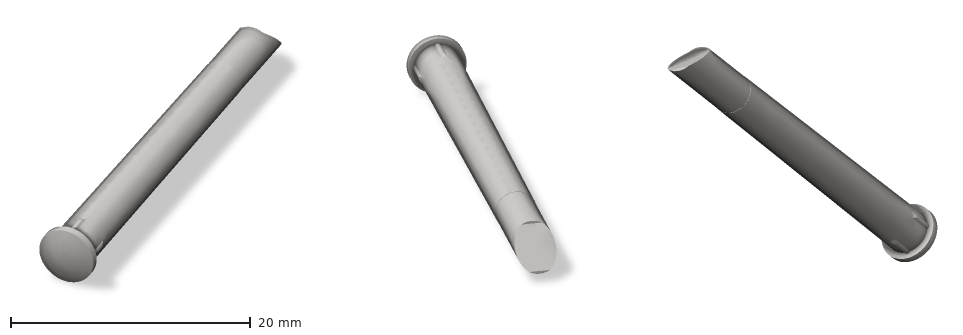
import cadquery as cq
import math

total_length = 39.37
head_diameter = 5.0
dome_height = 0.58
rim_thickness = 0.67
tip_diameter = 3.5
tip_length = 8.85
neck_diameter = 3.87
shank_end_diameter = 3.55
bevel_height = 3.0
rib_width = 0.6
rib_length = 2.9
rib_nose_length = 0.95
rib_diameter = 4.15
rib_count = 4

dome_apex = -(rim_thickness + dome_height)
tip_end = total_length + dome_apex
tip_start = tip_end - tip_length


def make_body():
    """Domed head, tapered shank and straight tip as one turned profile."""
    head_radius = head_diameter / 2
    dome_radius = (head_radius**2 + dome_height**2) / (2 * dome_height)
    mid_radius = head_radius / 2
    mid_sag = dome_radius - math.sqrt(dome_radius**2 - mid_radius**2)
    profile = (
        cq.Workplane("YZ")
        .moveTo(dome_apex, 0)
        .threePointArc((dome_apex + mid_sag, mid_radius), (-rim_thickness, head_radius))
        .lineTo(0, head_radius)
        .lineTo(0, neck_diameter / 2)
        .lineTo(tip_start, shank_end_diameter / 2)
        .lineTo(tip_start, tip_diameter / 2)
        .lineTo(tip_end, tip_diameter / 2)
        .lineTo(tip_end, 0)
        .close()
    )
    return profile.revolve(360, (0, 0, 0), (1, 0, 0))


def make_rib():
    """Round-backed rib along the top of the neck, with a sloping nose."""
    rib_radius = rib_width / 2
    crest = rib_diameter / 2
    rib = (
        cq.Workplane("XZ")
        .center(0, crest - rib_radius)
        .circle(rib_radius)
        .extrude(-rib_length)
    )
    nose_cut = (
        cq.Workplane("YZ")
        .moveTo(rib_length - rib_nose_length, crest)
        .lineTo(rib_length, crest)
        .lineTo(rib_length, crest - rib_radius)
        .close()
        .extrude(rib_radius, both=True)
    )
    return rib.cut(nose_cut)


def make_bevel_cutter():
    """Material removed above the sloping end of the tip."""
    tip_radius = tip_diameter / 2
    bevel_start = tip_end - bevel_height
    return (
        cq.Workplane("YZ")
        .moveTo(tip_end, -bevel_height / 2)
        .lineTo(bevel_start, bevel_height / 2)
        .lineTo(bevel_start, tip_radius)
        .lineTo(tip_end, tip_radius)
        .close()
        .extrude(tip_radius, both=True)
    )


result = make_body().cut(make_bevel_cutter())
for index in range(rib_count):
    rib_angle = index * 360 / rib_count
    result = result.union(make_rib().rotate((0, 0, 0), (0, 1, 0), rib_angle))